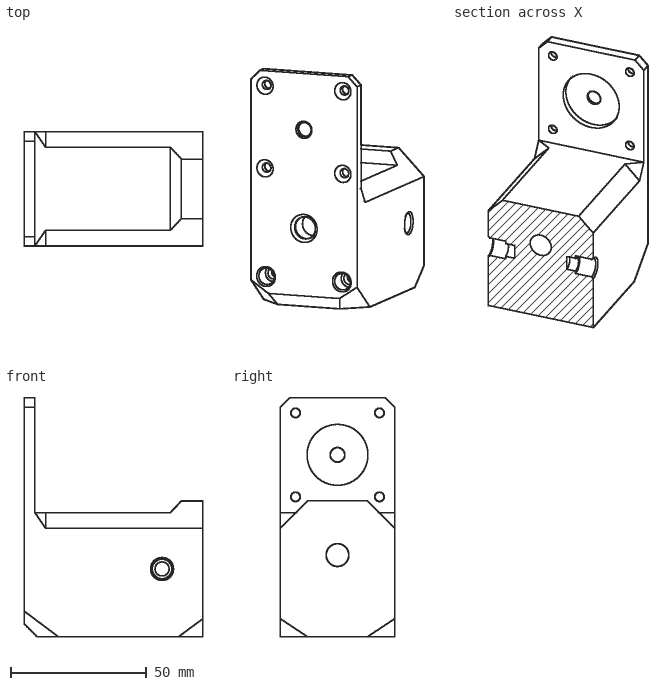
import cadquery as cq

length = 66.0
width = 42.3
height = 88.25
half_width = width / 2

plate_thickness = 4.0
plate_corner_chamfer = 3.5
seat_height = 45.9
ridge_height = 50.2
ridge_foot_x = 54.0
ridge_crest_x = 58.1
base_edge_chamfer = 4.85

side_chamfer_bottom = 40.1
side_chamfer = seat_height - side_chamfer_bottom
ridge_side_chamfer = ridge_height - side_chamfer_bottom
runout_end_x = 2 * plate_thickness

plate_corner_cut = (12.7, 14.2, 9.5)
far_corner_cut = (9.1, 10.15, 6.7)

screw_spacing = 31.0
pattern_center_z = 67.2
screw_diameter = 3.35
countersink_diameter = 6.4
center_hole_diameter = 5.3
center_hole_mouth = 6.35

recess_diameter = 22.5
recess_lip = 1.5

bore_z = 30.2
bore_diameter = 8.3
bore_mouth = 10.5

pocket_diameter = 22.5
pocket_lip = 2.0
pocket_width = 6.8

plate_socket_spacing = 30.2
plate_socket_z = 11.1
plate_socket_mouth = 7.4
plate_socket_diameter = 6.2
plate_socket_depth = 7.1
plate_pilot_diameter = 4.15
plate_pilot_depth = 10.6

side_socket_x = 50.9
side_socket_z = 25.1
side_socket_mouth = 8.5
side_socket_diameter = 7.2
side_socket_depth = 7.1
side_pilot_diameter = 5.2
side_pilot_depth = 10.6


def tetrahedron(a, b, c, d):
    """Solid with the four given corners."""
    corners = [cq.Vector(*corner) for corner in (a, b, c, d)]
    faces = []
    for skipped in corners:
        triangle = [corner for corner in corners if corner is not skipped]
        faces.append(cq.Face.makeFromWires(cq.Wire.makePolygon(triangle, close=True)))
    return cq.Solid.makeSolid(cq.Shell.makeShell(faces))


def make_body():
    """Side profile across the full width, with the top corners of the plate chamfered."""
    profile = [
        (0, base_edge_chamfer),
        (0, height),
        (plate_thickness, height),
        (plate_thickness, seat_height),
        (ridge_foot_x, seat_height),
        (ridge_crest_x, ridge_height),
        (length, ridge_height),
        (length, 0),
        (base_edge_chamfer, 0),
    ]
    body = cq.Workplane("XZ").polyline(profile).close().extrude(half_width, both=True)
    return body.edges("|X and >Z").chamfer(plate_corner_chamfer)


def side_chamfer_cut(side):
    """Wedge along one upper side of the block, and its run-out towards the plate."""
    outer_y = side * half_width
    wedge = (
        cq.Workplane("YZ", origin=(runout_end_x, 0, 0))
        .moveTo(outer_y, side_chamfer_bottom)
        .lineTo(outer_y, ridge_height)
        .lineTo(outer_y - side * ridge_side_chamfer, ridge_height)
        .close()
        .extrude(length - runout_end_x)
    )
    runout = tetrahedron(
        (plate_thickness, outer_y, seat_height),
        (runout_end_x, outer_y, seat_height),
        (runout_end_x, outer_y - side * side_chamfer, seat_height),
        (runout_end_x, outer_y, side_chamfer_bottom),
    )
    return wedge.add(runout).combine()


def corner_cut(x, direction, side, size):
    """Tetrahedron that cuts off one lower corner."""
    outer_y = side * half_width
    cut_x, cut_y, cut_z = size
    return tetrahedron(
        (x, outer_y, 0),
        (x + direction * cut_x, outer_y, 0),
        (x, outer_y - side * cut_y, 0),
        (x, outer_y, cut_z),
    )


def cylinder(point, direction, diameter, depth):
    """Solid cylinder that starts at the point and runs along the direction."""
    return cq.Solid.makeCylinder(diameter / 2, depth, cq.Vector(*point), cq.Vector(*direction))


def drill(point, direction, diameter, depth, mouth):
    """Round hole with a 45 degree chamfer that opens it to the mouth diameter."""
    hole = cylinder(point, direction, diameter, depth)
    chamfer_depth = (mouth - diameter) / 2
    chamfer = cq.Solid.makeCone(
        mouth / 2, diameter / 2, chamfer_depth, cq.Vector(*point), cq.Vector(*direction)
    )
    return hole.fuse(chamfer)


def stepped_socket(point, direction, diameter, depth, mouth, pilot_diameter, pilot_depth):
    """Chamfered flat-bottomed hole with a narrower pilot hole below it."""
    socket = drill(point, direction, diameter, depth, mouth)
    pilot = cylinder(point, direction, pilot_diameter, pilot_depth)
    return socket.fuse(pilot)


inward_x = (1, 0, 0)
result = make_body()

for side in (-1, 1):
    result = result.cut(side_chamfer_cut(side))
    result = result.cut(cq.Workplane(corner_cut(0, 1, side, plate_corner_cut)))
    result = result.cut(cq.Workplane(corner_cut(length, -1, side, far_corner_cut)))

    for row in (-1, 1):
        screw_point = (0, side * screw_spacing / 2, pattern_center_z + row * screw_spacing / 2)
        screw_hole = drill(screw_point, inward_x, screw_diameter, plate_thickness, countersink_diameter)
        result = result.cut(cq.Workplane(screw_hole))

    plate_socket = stepped_socket(
        (0, side * plate_socket_spacing / 2, plate_socket_z),
        inward_x,
        plate_socket_diameter,
        plate_socket_depth,
        plate_socket_mouth,
        plate_pilot_diameter,
        plate_pilot_depth,
    )
    side_socket = stepped_socket(
        (side_socket_x, side * half_width, side_socket_z),
        (0, -side, 0),
        side_socket_diameter,
        side_socket_depth,
        side_socket_mouth,
        side_pilot_diameter,
        side_pilot_depth,
    )
    result = result.cut(cq.Workplane(plate_socket)).cut(cq.Workplane(side_socket))

center_hole = drill(
    (0, 0, pattern_center_z), inward_x, center_hole_diameter, plate_thickness, center_hole_mouth
)
bore = drill((0, 0, bore_z), inward_x, bore_diameter, length, bore_mouth)
recess = cylinder(
    (recess_lip, 0, pattern_center_z), inward_x, recess_diameter, plate_thickness - recess_lip
)
pocket = cylinder((pocket_lip, 0, bore_z), inward_x, pocket_diameter, pocket_width)
for cutter in (center_hole, recess, bore, pocket):
    result = result.cut(cq.Workplane(cutter))